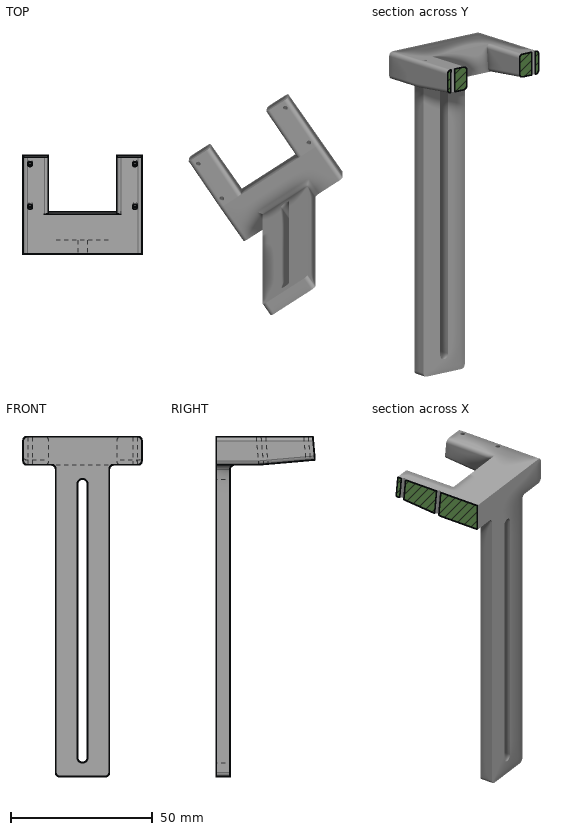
import cadquery as cq
import math

head_width = 42.0
head_height = 10.0
total_height = 120.0
stem_width = 19.0
stem_thickness = 5.0
edge_radius = 1.5

knee_y = 15.0
arm_length = 20.0
trim_length = 4.0
arm_angle = math.radians(5.0)
arm_gap = 24.0

slot_width = 3.5
slot_margin = 5.0

hole_diameter = 1.6
hole_edge_x = 2.5
hole_end_margin = 2.5


def arm_underside(distance):
    """Y and Z of the point this far along the sloping underside from the knee."""
    return (
        knee_y + distance * math.cos(arm_angle),
        -head_height + distance * math.sin(arm_angle),
    )


def square_to_arm(point, drop):
    """Y and Z of the point this far below the given one, square to the slope."""
    y, z = point
    return (y + drop * math.sin(arm_angle), z - drop * math.cos(arm_angle))


def lift_to_top(point):
    """Y and Z where the line through a point, square to the slope, meets the top face."""
    y, z = point
    return (y + z * math.tan(arm_angle), 0.0)


def slope_prism(start, end, width):
    """Tall prism with ends square to the slope, spanning these distances along it."""
    above, below = -2 * head_height, head_height
    near = arm_underside(start)
    far = arm_underside(end)
    return (
        cq.Workplane("YZ")
        .polyline([
            square_to_arm(near, below),
            square_to_arm(far, below),
            square_to_arm(far, above),
            square_to_arm(near, above),
        ])
        .close()
        .extrude(width)
    )


def make_full_block():
    """Head without its opening, overlong in Y, with the outer lengthwise edges rounded."""
    tip = arm_underside(arm_length + trim_length)
    return (
        cq.Workplane("YZ")
        .polyline([(0, 0), (0, -head_height), (knee_y, -head_height), tip, lift_to_top(tip)])
        .close()
        .extrude(head_width / 2, both=True)
        .edges("(<X or >X) and (not |Z)")
        .fillet(edge_radius)
    )


def make_head():
    """Solid base along the front with two sloping arms, cut square to the slope at both ends."""
    block = make_full_block()
    beyond_knee = slope_prism(0, 2 * arm_length, 2 * head_width).translate((-head_width, 0, 0))
    base = block.cut(beyond_knee)

    arm_width = (head_width - arm_gap) / 2
    arm_space = slope_prism(0, arm_length, arm_width).translate((arm_gap / 2, 0, 0))
    arm = block.intersect(arm_space)
    arm = arm.edges("<X").edges("<Z or >Z").fillet(edge_radius)
    return base.union(arm).union(arm.mirror("YZ"))


def make_stem():
    """Flat bar hanging from the head, with rounded lower corners."""
    return (
        cq.Workplane("XY")
        .box(stem_width, stem_thickness, total_height, centered=(True, False, False))
        .translate((0, 0, -total_height))
        .edges("|Y and <Z")
        .fillet(edge_radius)
    )


def round_stem_root(body):
    """Blend the sides and back of the stem into the underside of the head."""
    root_edges = cq.selectors.BoxSelector(
        (-stem_width / 2 - edge_radius, edge_radius, -head_height - edge_radius),
        (stem_width / 2 + edge_radius, stem_thickness + edge_radius, -head_height + edge_radius),
    )
    return body.edges(root_edges).fillet(edge_radius)


def make_slot():
    """Round-ended slot through the thickness of the stem."""
    top_z = -head_height - slot_margin
    bottom_z = -total_height + slot_margin
    return (
        cq.Workplane("XZ")
        .center(0, (top_z + bottom_z) / 2)
        .slot2D(top_z - bottom_z, slot_width, 90)
        .extrude(-stem_thickness)
    )


def make_arm_hole(x, distance):
    """Hole cutter through one arm, square to the slope."""
    bottom = square_to_arm(arm_underside(distance), head_height)
    axis = cq.Vector(0, -math.sin(arm_angle), math.cos(arm_angle))
    length = 3 * head_height
    return cq.Workplane(
        cq.Solid.makeCylinder(hole_diameter / 2, length, cq.Vector(x, *bottom), axis)
    )


result = make_head().union(make_stem())
result = round_stem_root(result)
result = result.cut(make_slot())

hole_x = head_width / 2 - hole_edge_x
for x in (-hole_x, hole_x):
    for distance in (hole_end_margin, arm_length - hole_end_margin):
        result = result.cut(make_arm_hole(x, distance))